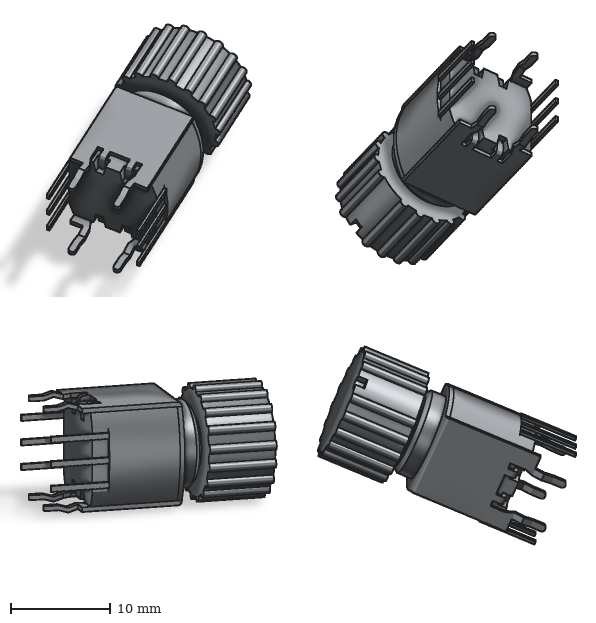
import cadquery as cq
import math


KNOB_DIAMETER = 11.0
KNOB_LENGTH = 7.0
RIB_DIAMETER = 0.95
RIB_CIRCLE_DIAMETER = 11.07
RIB_POSITIONS = 18
RIB_START_ANGLE = 5.0
MARK_POSITION = 11
MARK_WIDTH = 1.0
MARK_DEPTH = 1.0
MARK_LENGTH = 0.99
SHAFT_DIAMETER = 5.9
KNOB_GAP = 0.5

BUSHING_DIAMETER = 9.0
BUSHING_LENGTH = 2.0
BUSHING_CHAMFER = 0.5

SHEET = 0.5
FRAME_HEIGHT = 10.7
FLANGE_WIDTH = 8.7
FLANGE_LENGTH = 10.5
BEND_RADIUS = 0.47
NOTCH_WIDTH = 4.98
NOTCH_START = 8.0

LEG_SPACING = 5.08
LEG_WIDTH = 0.75
LEG_TIP_RADIUS = 0.35
LEG_END = 14.0
BUMP_RISE = 0.3
BUMP_HALF_LENGTH = 1.0

TAB_SPACING = 2.98
TAB_WIDTH = 0.75
TAB_FACE = 8.6
TAB_TIP_Z = 3.55

HOUSING_END = 9.6
HOUSING_WIDTH = 10.72
HOUSING_HEIGHT = FRAME_HEIGHT - 2 * SHEET
SLOT_TOP_WIDTH = 1.36
SLOT_BOTTOM_WIDTH = 0.87
SLOT_FLOOR_Z = 3.48

FLAT_WIDTH = 9.85
FLAT_LENGTH = 1.7
TERMINAL_PITCH = 2.54
TERMINAL_WIDTH = 0.6
TERMINAL_THICKNESS = 0.3

KNOB_FRONT = BUSHING_LENGTH + KNOB_GAP
KNOB_BACK = KNOB_FRONT + KNOB_LENGTH


def cylinder(diameter, y_start, y_end, x=0.0, z=0.0):
    """Solid cylinder along Y."""
    plane = cq.Plane(origin=(x, y_start, z), xDir=(1, 0, 0), normal=(0, 1, 0))
    return cq.Workplane(plane).circle(diameter / 2).extrude(y_end - y_start)


def box(x_range, y_range, z_range):
    """Box from its limits along X, Y and Z."""
    corner = (x_range[0], y_range[0], z_range[0])
    size = (x_range[1] - x_range[0], y_range[1] - y_range[0], z_range[1] - z_range[0])
    return cq.Workplane("XY").box(*size, centered=False).translate(corner)


def make_knob():
    """Ribbed knob, with a notch at its pointer position and a shaft through the bushing."""
    knob = cylinder(KNOB_DIAMETER, KNOB_FRONT, KNOB_BACK)
    radius = KNOB_DIAMETER / 2
    step = 360 / RIB_POSITIONS
    for position in range(RIB_POSITIONS):
        if position == MARK_POSITION:
            continue
        angle = math.radians(RIB_START_ANGLE + position * step)
        x = RIB_CIRCLE_DIAMETER / 2 * math.cos(angle)
        z = RIB_CIRCLE_DIAMETER / 2 * math.sin(angle)
        knob = knob.union(cylinder(RIB_DIAMETER, KNOB_FRONT, KNOB_BACK, x, z))

    notch = box(
        (radius - MARK_DEPTH, radius + RIB_DIAMETER),
        (KNOB_BACK - MARK_LENGTH, KNOB_BACK),
        (-MARK_WIDTH / 2, MARK_WIDTH / 2),
    )
    mark_angle = RIB_START_ANGLE + MARK_POSITION * step
    knob = knob.cut(notch.rotate((0, 0, 0), (0, 1, 0), -mark_angle))
    return knob.union(cylinder(SHAFT_DIAMETER, 0, KNOB_FRONT))


def make_bushing():
    """Ring around the shaft, chamfered at the knob end."""
    ring = cylinder(BUSHING_DIAMETER, 0, BUSHING_LENGTH).faces(">Y").chamfer(BUSHING_CHAMFER)
    return ring.cut(cylinder(SHAFT_DIAMETER, 0, BUSHING_LENGTH))


def barrel(y_start, y_end):
    """Block with flat top and bottom and bulging sides, the section of housing and front plate."""
    x = FLANGE_WIDTH / 2
    z = HOUSING_HEIGHT / 2
    bulge = HOUSING_WIDTH / 2
    plane = cq.Plane(origin=(0, y_end, 0), xDir=(1, 0, 0), normal=(0, -1, 0))
    outline = (
        cq.Workplane(plane)
        .moveTo(-x, z)
        .lineTo(x, z)
        .threePointArc((bulge, 0), (x, -z))
        .lineTo(-x, -z)
        .threePointArc((-bulge, 0), (-x, z))
        .close()
    )
    return outline.extrude(y_end - y_start)


def make_flange():
    """Upper flange, notched at its end between the legs."""
    top = FRAME_HEIGHT / 2
    side = FLANGE_WIDTH / 2
    flange = box((-side, side), (-FLANGE_LENGTH, 0), (top - SHEET, top))
    flange = flange.edges(">Y and >Z").fillet(BEND_RADIUS)

    notch_side = NOTCH_WIDTH / 2
    leg_inside = (LEG_SPACING - LEG_WIDTH) / 2
    notch = (
        cq.Workplane("XY", origin=(0, 0, top - SHEET))
        .moveTo(-notch_side, -NOTCH_START)
        .lineTo(notch_side, -NOTCH_START)
        .lineTo(notch_side, -HOUSING_END)
        .lineTo(leg_inside, -FLANGE_LENGTH)
        .lineTo(-leg_inside, -FLANGE_LENGTH)
        .lineTo(-notch_side, -HOUSING_END)
        .close()
        .extrude(SHEET)
    )
    return flange.cut(notch)


def make_leg(x):
    """Solder leg of the upper flange, kinked outwards and round at its tip."""
    top = FRAME_HEIGHT / 2
    bottom = top - SHEET
    bump_start = -FLANGE_LENGTH
    bump_peak = bump_start - BUMP_HALF_LENGTH
    bump_end = bump_peak - BUMP_HALF_LENGTH
    side_profile = [
        (bump_start, bottom),
        (bump_start, top),
        (bump_peak, top + BUMP_RISE),
        (bump_end, top),
        (-LEG_END, top),
        (-LEG_END, bottom),
        (bump_end, bottom),
        (bump_peak, bottom + BUMP_RISE),
    ]
    leg = cq.Workplane("YZ").polyline(side_profile).close().extrude(LEG_WIDTH / 2, both=True)
    leg = leg.edges("<Y and |Z").fillet(LEG_TIP_RADIUS)
    return leg.translate((x, 0, 0))


def make_tab(x):
    """Tab of the upper flange, bent inwards over the slot wall and round at its tip."""
    top = FRAME_HEIGHT / 2
    bend_start = top - SHEET
    outer_face = -TAB_FACE - SHEET
    bend_middle = SHEET * math.sqrt(0.5)
    tip_centre = TAB_TIP_Z + TAB_WIDTH / 2
    bent_strip = (
        cq.Workplane("YZ")
        .moveTo(-NOTCH_START, bend_start)
        .lineTo(-NOTCH_START, top)
        .lineTo(-TAB_FACE, top)
        .threePointArc((-TAB_FACE - bend_middle, bend_start + bend_middle), (outer_face, bend_start))
        .lineTo(outer_face, tip_centre)
        .lineTo(-TAB_FACE, tip_centre)
        .lineTo(-TAB_FACE, bend_start)
        .close()
        .extrude(TAB_WIDTH / 2, both=True)
    )
    tip = cylinder(TAB_WIDTH, outer_face, -TAB_FACE, z=tip_centre)
    return bent_strip.union(tip).translate((x, 0, 0))


def make_frame():
    """Front plate with both flanges, their legs and their tabs."""
    upper = make_flange()
    for side in (-1, 1):
        upper = upper.union(make_leg(side * LEG_SPACING / 2))
        upper = upper.union(make_tab(side * TAB_SPACING / 2))
    lower = upper.mirror("XY")
    return barrel(-SHEET, 0).union(upper).union(lower)


def make_slot(x):
    """Tapered slot in the upper end of the housing, for one tab."""
    top_half = SLOT_TOP_WIDTH / 2
    bottom_half = SLOT_BOTTOM_WIDTH / 2
    top = HOUSING_HEIGHT / 2
    outline = [(-top_half, top), (top_half, top), (bottom_half, SLOT_FLOOR_Z), (-bottom_half, SLOT_FLOOR_Z)]
    slot = cq.Workplane("XZ", origin=(x, -TAB_FACE, 0)).polyline(outline).close()
    return slot.extrude(HOUSING_END - TAB_FACE)


def make_housing():
    """Housing with four tab slots and a terminal flat on each side."""
    housing = barrel(-HOUSING_END, -SHEET)
    for side in (-1, 1):
        slot = make_slot(side * TAB_SPACING / 2)
        housing = housing.cut(slot).cut(slot.mirror("XY"))

    flat = FLAT_WIDTH / 2
    side_cut = box(
        (flat, HOUSING_WIDTH),
        (-HOUSING_END, -HOUSING_END + FLAT_LENGTH),
        (-HOUSING_HEIGHT / 2, HOUSING_HEIGHT / 2),
    )
    return housing.cut(side_cut).cut(side_cut.mirror("YZ"))


def make_terminal(side, z):
    """Straight terminal on the flat of the side -1 (left) or +1 (right)."""
    inner = FLAT_WIDTH / 2
    terminal = box(
        (inner, inner + TERMINAL_THICKNESS),
        (-LEG_END, -HOUSING_END + FLAT_LENGTH),
        (z - TERMINAL_WIDTH / 2, z + TERMINAL_WIDTH / 2),
    )
    if side < 0:
        terminal = terminal.mirror("YZ")
    return terminal


knob = make_knob()
bushing = make_bushing()
frame = make_frame()
housing = make_housing()
terminals = [make_terminal(side, row * TERMINAL_PITCH) for side in (-1, 1) for row in (-1, 0, 1)]

result = cq.Compound.makeCompound(
    [
        knob.val(),
        bushing.val(),
        frame.val(),
        housing.val(),
        *[terminal.val() for terminal in terminals],
    ]
)